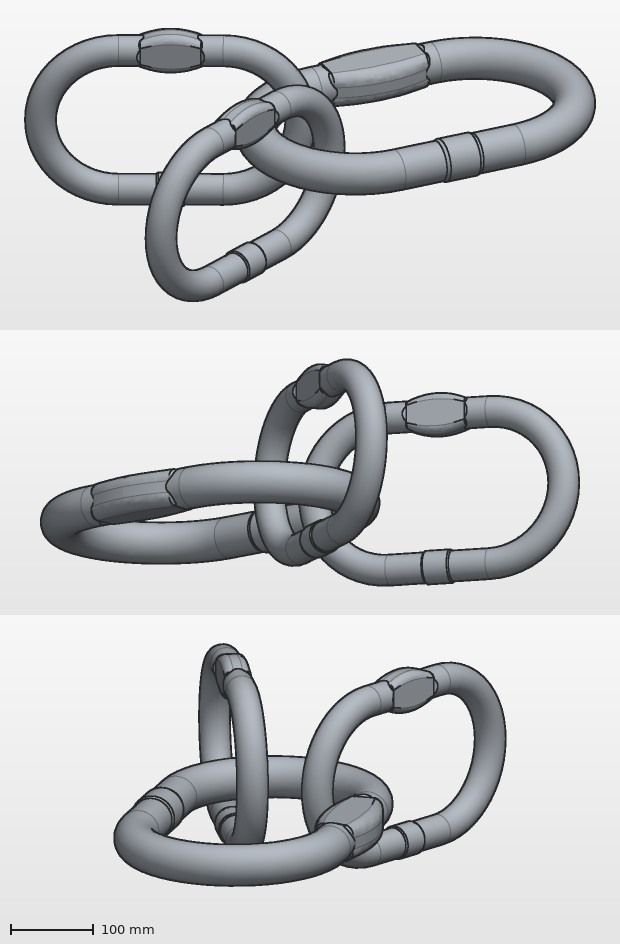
import cadquery as cq
import math

MASTER_WIRE_DIA = 50.0
MASTER_BEND_RADIUS = 120.0
MASTER_STRAIGHT = 158.5
MASTER_COLLAR_DIA = 53.5
MASTER_COLLAR_LENGTH = 49.0
MASTER_COLLAR_TAPER = 4.5
MASTER_PAD_LENGTH = 125.0
MASTER_PAD_END_WIDTH = 47.5
MASTER_PAD_MID_WIDTH = 71.5
MASTER_PAD_END_FLAT = 29.0
MASTER_PAD_MID_FLAT = 41.5
MASTER_PAD_THICKNESS = 45.5
MASTER_PAD_SIDE_HEIGHT = 14.0

SUB_WIRE_DIA = 38.0
SUB_BEND_RADIUS = 94.0
SUB_STRAIGHT = 126.0
SUB_COLLAR_DIA = 41.0
SUB_COLLAR_LENGTH = 34.5
SUB_COLLAR_TAPER = 2.0
SUB_PAD_LENGTH = 73.0
SUB_PAD_END_WIDTH = 34.5
SUB_PAD_MID_WIDTH = 51.0
SUB_PAD_END_FLAT = 22.0
SUB_PAD_MID_FLAT = 33.0
SUB_PAD_THICKNESS = 32.5
SUB_PAD_SIDE_HEIGHT = 11.0
SUB_SPREAD_ANGLE = 25.0
SUB_CENTRE_X = 107.0
SUB_CENTRE_Y = -275.0
SUB_CENTRE_Z = 4.0

PAD_RAMP_LENGTH = 6.5
PAD_RAMP_DROP = 4.0


def make_ring(wire_dia, bend_radius, straight):
    """Round wire swept along an oval with its long axis on Y."""
    half = straight / 2
    path = (
        cq.Workplane("XY")
        .moveTo(-bend_radius, -half)
        .lineTo(-bend_radius, half)
        .threePointArc((0, half + bend_radius), (bend_radius, half))
        .lineTo(bend_radius, -half)
        .threePointArc((0, -half - bend_radius), (-bend_radius, -half))
        .close()
    )
    section = cq.Workplane("XZ", origin=(-bend_radius, -half, 0)).circle(wire_dia / 2)
    return section.sweep(path)


def make_collar(wire_dia, collar_dia, length, taper_length, bend_radius):
    """Weld collar with tapered ends around the middle of the +X straight."""
    half = length / 2
    profile = [
        (0, -half),
        (wire_dia / 2, -half),
        (collar_dia / 2, -half + taper_length),
        (collar_dia / 2, half - taper_length),
        (wire_dia / 2, half),
        (0, half),
    ]
    collar = cq.Workplane("XY").polyline(profile).close().revolve(360, (0, 0), (0, 1))
    return collar.translate((bend_radius, 0, 0))


def draw_pad_section(plane, width, flat_width, thickness, side_height):
    """Draw the pad cross-section: flat top, bottom and sides joined by rounded shoulders."""
    side_x = width / 2
    flat_x = flat_width / 2
    flat_z = thickness / 2
    side_z = side_height / 2
    bulge = math.sin(math.radians(45))
    mid_x = flat_x + (side_x - flat_x) * bulge
    mid_z = side_z + (flat_z - side_z) * bulge
    return (
        plane.moveTo(-flat_x, flat_z)
        .lineTo(flat_x, flat_z)
        .threePointArc((mid_x, mid_z), (side_x, side_z))
        .lineTo(side_x, -side_z)
        .threePointArc((mid_x, -mid_z), (flat_x, -flat_z))
        .lineTo(-flat_x, -flat_z)
        .threePointArc((-mid_x, -mid_z), (-side_x, -side_z))
        .lineTo(-side_x, side_z)
        .threePointArc((-mid_x, mid_z), (-flat_x, flat_z))
        .close()
    )


def make_pad(length, end_width, mid_width, end_flat, mid_flat, thickness, side_height):
    """Forged marking pad along Y, widest at the middle, with flat faces on +Z and -Z."""
    half = length / 2
    pad = draw_pad_section(
        cq.Workplane("XZ", origin=(0, half, 0)), end_width, end_flat, thickness, side_height
    )
    pad = draw_pad_section(pad.workplane(offset=half), mid_width, mid_flat, thickness, side_height)
    pad = draw_pad_section(pad.workplane(offset=half), end_width, end_flat, thickness, side_height)
    return pad.loft()


def make_pad_ramp(length, end_width, end_flat, thickness, side_height):
    """Short taper that runs the +Y end of the pad down into the wire."""
    ramp = draw_pad_section(
        cq.Workplane("XZ", origin=(0, length / 2, 0)), end_width, end_flat, thickness, side_height
    )
    ramp = draw_pad_section(
        ramp.workplane(offset=-PAD_RAMP_LENGTH),
        end_width - 2 * PAD_RAMP_DROP,
        end_flat - PAD_RAMP_DROP,
        thickness - 2 * PAD_RAMP_DROP,
        side_height - PAD_RAMP_DROP,
    )
    return ramp.loft(ruled=True)


def make_flat_cutter(wire_dia, length, thickness):
    """Trapezoid bar that clears the wire above the +Z flat, with ramped ends."""
    half = length / 2
    profile = [
        (-half, thickness / 2),
        (half, thickness / 2),
        (half + 2 * PAD_RAMP_LENGTH, thickness / 2 + 2 * PAD_RAMP_DROP),
        (-half - 2 * PAD_RAMP_LENGTH, thickness / 2 + 2 * PAD_RAMP_DROP),
    ]
    return cq.Workplane("YZ").polyline(profile).close().extrude(wire_dia, both=True)


def make_link(wire_dia, bend_radius, straight, collar, pad_size):
    """Oval ring with a weld collar on the +X straight and a marking pad on the -X straight."""
    link = make_ring(wire_dia, bend_radius, straight).union(collar)
    to_pad = (-bend_radius, 0, 0)
    link = link.union(make_pad(**pad_size).translate(to_pad))
    ramp = make_pad_ramp(
        pad_size["length"], pad_size["end_width"], pad_size["end_flat"],
        pad_size["thickness"], pad_size["side_height"],
    )
    cutter = make_flat_cutter(wire_dia, pad_size["length"], pad_size["thickness"])
    link = link.union(ramp.translate(to_pad)).union(ramp.mirror("XZ").translate(to_pad))
    return link.cut(cutter.translate(to_pad)).cut(cutter.mirror("XY").translate(to_pad))


def make_master_link():
    collar = make_collar(
        MASTER_WIRE_DIA, MASTER_COLLAR_DIA, MASTER_COLLAR_LENGTH, MASTER_COLLAR_TAPER, MASTER_BEND_RADIUS
    )
    pad_size = {
        "length": MASTER_PAD_LENGTH,
        "end_width": MASTER_PAD_END_WIDTH,
        "mid_width": MASTER_PAD_MID_WIDTH,
        "end_flat": MASTER_PAD_END_FLAT,
        "mid_flat": MASTER_PAD_MID_FLAT,
        "thickness": MASTER_PAD_THICKNESS,
        "side_height": MASTER_PAD_SIDE_HEIGHT,
    }
    return make_link(MASTER_WIRE_DIA, MASTER_BEND_RADIUS, MASTER_STRAIGHT, collar, pad_size)


def make_sub_link(side):
    """Sub link on the -X side (side = -1) or the +X side (side = 1), pad on top."""
    collar = make_collar(
        SUB_WIRE_DIA, SUB_COLLAR_DIA, SUB_COLLAR_LENGTH, SUB_COLLAR_TAPER, SUB_BEND_RADIUS
    )
    pad_size = {
        "length": SUB_PAD_LENGTH,
        "end_width": SUB_PAD_END_WIDTH,
        "mid_width": SUB_PAD_MID_WIDTH,
        "end_flat": SUB_PAD_END_FLAT,
        "mid_flat": SUB_PAD_MID_FLAT,
        "thickness": SUB_PAD_THICKNESS,
        "side_height": SUB_PAD_SIDE_HEIGHT,
    }
    link = make_link(SUB_WIRE_DIA, SUB_BEND_RADIUS, SUB_STRAIGHT, collar, pad_size)
    upright = link.rotate((0, 0, 0), (0, 1, 0), 90)
    spread = upright.rotate((0, 0, 0), (0, 0, 1), side * SUB_SPREAD_ANGLE)
    return spread.translate((side * SUB_CENTRE_X, SUB_CENTRE_Y, SUB_CENTRE_Z))


master_link = make_master_link()
sub_links = [make_sub_link(side) for side in (-1, 1)]

result = cq.Compound.makeCompound([link.solids().val() for link in (master_link, *sub_links)])